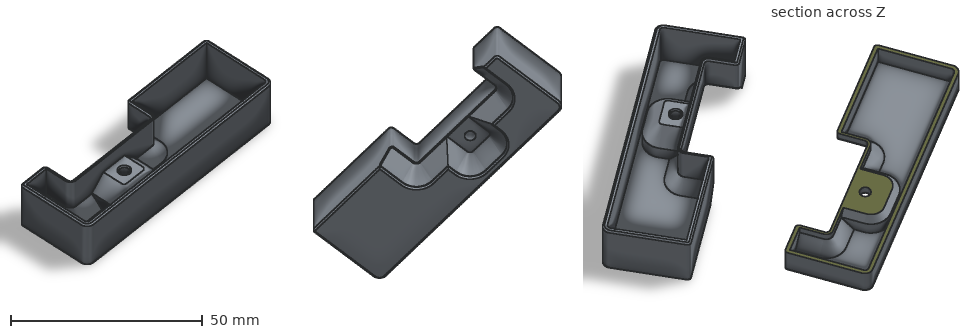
import cadquery as cq

LENGTH_X = 23.75
LENGTH_Y = 72.63
HEIGHT = 15.0
X_LEFT = -LENGTH_X / 2
Y_FRONT = -LENGTH_Y / 2
RIGHT_CORNER_RADIUS = 2.25
LEFT_CORNER_RADIUS = 1.0
RIM_CHAMFER = 0.5
RECESS_EDGE_CHAMFER = 0.25

WALL = 1.25
NOTCH_WALL = 0.9
FLOOR = 2.0

NOTCH_DEPTH = 8.95
NOTCH_WIDTH = 31.75
FRONT_ARM_WIDTH = 9.8
NOTCH_CENTER_Y = Y_FRONT + FRONT_ARM_WIDTH + NOTCH_WIDTH / 2
NOTCH_INSIDE_RADIUS = 1.1

FLARE_BASE_Z = 0.75
FLARE_HEIGHT = 4.45
FLARE_ANGLE = 45.0

PAD_REACH = 17.2
PAD_WIDTH = 8.3
PAD_CORNER_RADIUS = 1.0

HOLE_REACH = 13.5
HOLE_X = X_LEFT + HOLE_REACH
HOLE_DIAMETER = 2.9
HOLE_CHAMFER = 0.4

BOSS_FOOT_HEIGHT = 3.75
BOSS_TOP = FLOOR + BOSS_FOOT_HEIGHT + FLARE_HEIGHT

OVERRUN = 20.0

PICK_SLACK = 0.01


def tongue(reach, width, corner_radius, base_z, height, taper=0.0):
    """Block entering from the left side at the notch centre, its inner corners rounded.

    The reach is measured from the tray's left side; with a taper it narrows upwards."""
    x_start = X_LEFT - OVERRUN
    sketch = (
        cq.Sketch()
        .rect(reach + OVERRUN, width)
        .vertices(">X")
        .fillet(corner_radius)
    )
    return (
        cq.Workplane("XY", origin=(x_start + (reach + OVERRUN) / 2, NOTCH_CENTER_Y, base_z))
        .placeSketch(sketch)
        .extrude(height, taper=taper)
    )


def flare(reach, width, corner_radius, base_z):
    """Tongue of the given size at its top, widening downwards at 45 degrees."""
    spread = FLARE_HEIGHT
    return tongue(
        reach + spread, width + 2 * spread, corner_radius + spread, base_z, FLARE_HEIGHT, FLARE_ANGLE
    )


def footed_flare(reach, width, corner_radius, base_z, foot_height):
    """Flare standing on a straight-sided foot as wide as the flare's base."""
    spread = FLARE_HEIGHT
    foot = tongue(reach + spread, width + 2 * spread, corner_radius + spread, base_z, foot_height)
    return foot.union(flare(reach, width, corner_radius, base_z + foot_height))


def notched_block():
    """Solid block with rounded corners and the straight notch cut through its left side."""
    block = (
        cq.Workplane("XY")
        .box(LENGTH_X, LENGTH_Y, HEIGHT, centered=(True, True, False))
        .edges("|Z and >X")
        .fillet(RIGHT_CORNER_RADIUS)
    )
    notch = tongue(NOTCH_DEPTH, NOTCH_WIDTH, NOTCH_INSIDE_RADIUS, 0, HEIGHT)
    return block.cut(notch).edges("|Z and <X").fillet(LEFT_CORNER_RADIUS)


def recess_wall_edges():
    """Selector for the edges where the notch walls end at the recesses; tangent edges follow."""
    lower_corner = (X_LEFT - PICK_SLACK, NOTCH_CENTER_Y - NOTCH_WIDTH, FLARE_BASE_Z + PICK_SLACK)
    upper_corner = (
        X_LEFT + NOTCH_DEPTH + PICK_SLACK,
        NOTCH_CENTER_Y + NOTCH_WIDTH,
        FLARE_BASE_Z + FLARE_HEIGHT + PICK_SLACK,
    )
    return cq.selectors.BoxSelector(lower_corner, upper_corner, boundingbox=True)


def outer_body():
    """Notched block with both underside recesses and all outer edges chamfered."""
    notch_recess = footed_flare(NOTCH_DEPTH, NOTCH_WIDTH, NOTCH_INSIDE_RADIUS, 0, FLARE_BASE_Z)
    pad_recess = footed_flare(PAD_REACH, PAD_WIDTH, PAD_CORNER_RADIUS, 0, FLARE_BASE_Z)
    return (
        notched_block()
        .cut(notch_recess)
        .cut(pad_recess)
        .edges(recess_wall_edges())
        .chamfer(RECESS_EDGE_CHAMFER)
        .faces("<Z or >Z")
        .chamfer(RIM_CHAMFER)
    )


def cavity():
    """Inside space of the tray, leaving the notch wall, its sloped foot and the boss."""
    space = (
        cq.Workplane("XY", origin=(0, 0, FLOOR))
        .box(LENGTH_X - 2 * WALL, LENGTH_Y - 2 * WALL, HEIGHT, centered=(True, True, False))
        .edges("|Z and >X")
        .fillet(RIGHT_CORNER_RADIUS - WALL)
    )
    reach = NOTCH_DEPTH + NOTCH_WALL
    width = NOTCH_WIDTH + 2 * NOTCH_WALL
    radius = NOTCH_INSIDE_RADIUS + NOTCH_WALL
    notch_wall = tongue(reach, width, radius, FLOOR, HEIGHT)
    return (
        space.cut(notch_wall)
        .cut(flare(NOTCH_DEPTH, NOTCH_WIDTH, NOTCH_INSIDE_RADIUS, FLOOR))
        .cut(footed_flare(PAD_REACH, PAD_WIDTH, PAD_CORNER_RADIUS, FLOOR, BOSS_FOOT_HEIGHT))
    )


def screw_hole():
    """Through hole with a chamfered upper edge on the boss."""
    radius = HOLE_DIAMETER / 2
    mouth_radius = radius + HOLE_CHAMFER
    shaft = cq.Solid.makeCylinder(radius, BOSS_TOP)
    mouth_base = cq.Vector(0, 0, BOSS_TOP - HOLE_CHAMFER)
    mouth = cq.Solid.makeCone(radius, mouth_radius, HOLE_CHAMFER, pnt=mouth_base)
    return cq.Workplane(shaft.fuse(mouth)).translate((HOLE_X, NOTCH_CENTER_Y, 0))


result = outer_body().cut(cavity()).cut(screw_hole())